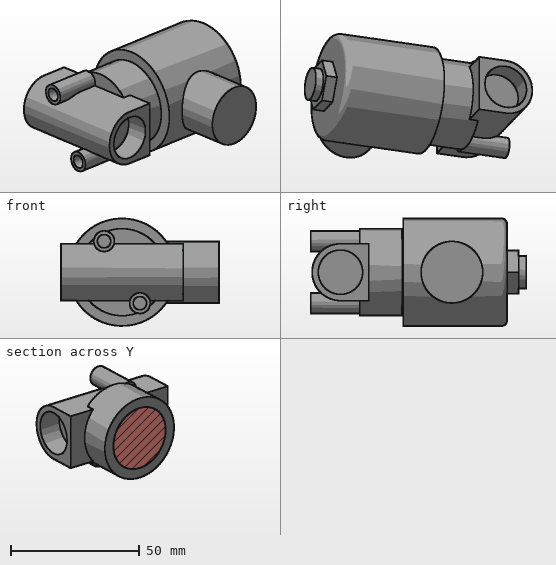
import cadquery as cq
import math


pipe_radius = 11.1
pipe_length = 47.5
pipe_axis_y = 11.6
pipe_back_y = 22.6
port_radius = 8.65
port_depth = 9.3
collar_radius = 16.95
collar_front_y = 19.05
collar_back_y = 35.6
shoulder_radius = 12.8

post_radius = 4.0
post_hole_radius = 2.6
post_hole_depth = 10.1
post_circle_radius = 13.9
post_angles = (120, 300)

coil_radius = 21.0
coil_front_y = 36.0
coil_back_y = 76.5
coil_fillet = 2.2
conduit_radius = 12.0
conduit_axis_y = 55.0
conduit_end_x = 37.8
nut_across_flats = 16.95
nut_back_y = 80.9
stud_radius = 6.4
stud_back_y = 83.9


def cylinder_y(radius, start_y, end_y, x=0, z=0):
    """Cylinder parallel to the main axis."""
    base = cq.Workplane("XZ", origin=(x, start_y, z))
    return base.circle(radius).extrude(start_y - end_y)


def cylinder_x(radius, start_x, end_x, y):
    """Cylinder across the main axis."""
    base = cq.Workplane("YZ", origin=(start_x, y, 0))
    return base.circle(radius).extrude(end_x - start_x)


def make_pipe():
    """D-shaped pipe block with a round front and a square back."""
    return (
        cq.Workplane("YZ", origin=(-pipe_length / 2, 0, 0))
        .moveTo(pipe_back_y, pipe_radius)
        .lineTo(pipe_axis_y, pipe_radius)
        .threePointArc((pipe_axis_y - pipe_radius, 0), (pipe_axis_y, -pipe_radius))
        .lineTo(pipe_back_y, -pipe_radius)
        .close()
        .extrude(pipe_length)
    )


def make_valve_body():
    """Pipe, collar, shoulder and hollow posts as one body."""
    body = make_pipe()
    body = body.union(cylinder_y(collar_radius, collar_front_y, collar_back_y))
    body = body.union(cylinder_y(shoulder_radius, collar_back_y, coil_front_y))

    for side in (-1, 1):
        end_x = side * pipe_length / 2
        floor_x = end_x - side * port_depth
        body = body.cut(cylinder_x(port_radius, floor_x, end_x, pipe_axis_y))

    for angle in post_angles:
        x = post_circle_radius * math.cos(math.radians(angle))
        z = post_circle_radius * math.sin(math.radians(angle))
        body = body.union(cylinder_y(post_radius, 0, collar_front_y, x, z))
        body = body.cut(cylinder_y(post_hole_radius, 0, post_hole_depth, x, z))
    return body


def make_coil():
    """Coil housing with its conduit outlet, nut and stud."""
    housing = cylinder_y(coil_radius, coil_front_y, coil_back_y)
    housing = housing.faces(">Y").edges().fillet(coil_fillet)
    conduit = cylinder_x(conduit_radius, 0, conduit_end_x, conduit_axis_y)
    nut_across_corners = nut_across_flats / math.cos(math.radians(30))
    nut = (
        cq.Workplane("XZ", origin=(0, coil_back_y, 0))
        .polygon(6, nut_across_corners)
        .extrude(coil_back_y - nut_back_y)
    )
    stud = cylinder_y(stud_radius, nut_back_y, stud_back_y)
    return housing.union(conduit).union(nut).union(stud)


valve_body = make_valve_body()
coil = make_coil()
result = cq.Compound.makeCompound([valve_body.val(), coil.val()])